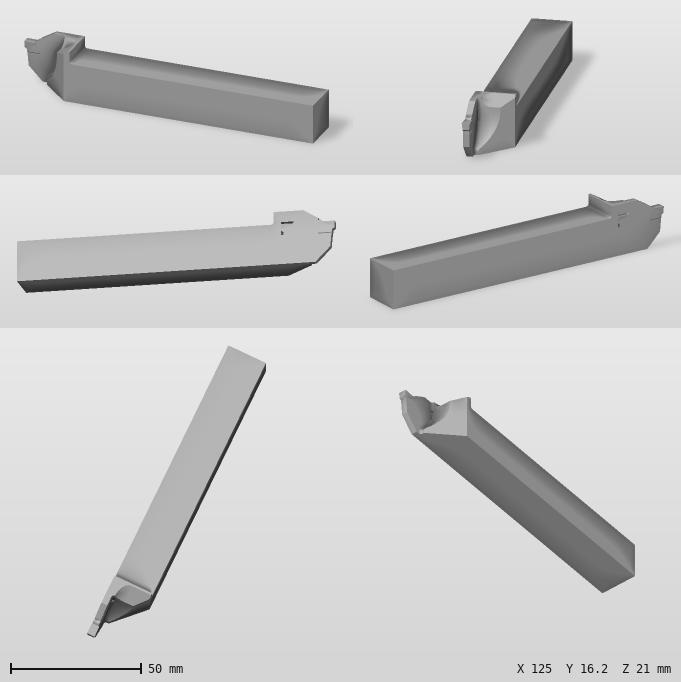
import cadquery as cq
import math

LENGTH = 125.0
SHANK = 16.0
HEAD_HEIGHT = 21.0
HEAD_END_X = 24.0
STEP_RADIUS = 1.0

BLADE_THICKNESS = 2.5
BLADE_FRONT_X = 1.1
BLADE_LOWER_X = 1.6
NOSE_HEIGHT = 5.9
NOSE_BOTTOM_X = 7.5
JAW_FRONT_X = 6.4
JAW_LIP_Z = 17.5
JAW_TOP_X = 12.2

FLANK_END_X = 21.6

WALL_X = 16.9
WALL_ARC_TOP_Z = 16.0
WALL_FOOT_X = 9.9
WALL_FOOT_Z = 2.2
FOOT_RADIUS = 1.5
ROOT_RADIUS = 1.0

RAMP_END_X = 23.1
RAMP_ANGLE = 30.0
RAMP_FLAT_Y = -7.5
RAMP_RADIUS = 4.0

INSERT_LENGTH = 21.0
SEAT_Z = 11.2
SEAT_BEVEL = 0.4
INSERT_TOP_Z = 16.8
GROOVE_DEPTH = 0.2
CUTTING_Z = 16.0
TIP_LENGTH = 4.4
TIP_OVERHANG = 0.2
TIP_WIDTH = 3.2
TIP_PLAN_RELIEF = 2.0
TIP_SIDE_RELIEF = 8.0
TIP_FRONT_Z = 13.4
TIP_UNDER_FRONT_Z = 13.9
TIP_UNDER_REAR_Z = 14.8
BLADE_RELIEF_X = 1.0
BLADE_RELIEF_Z = 12.6
TOP_START_X = 5.2

CLEAR = 1.2


def prism(points, back_y, width):
    """Extrude an XZ outline from back_y toward -Y."""
    return cq.Workplane("XZ", origin=(0, back_y, 0)).polyline(points).close().extrude(width)


def insert_section(start_x, length):
    """Bar along X with bevelled lower edges and a shallow V groove on top."""
    points = [
        (0, SEAT_Z + SEAT_BEVEL),
        (-SEAT_BEVEL, SEAT_Z),
        (SEAT_BEVEL - BLADE_THICKNESS, SEAT_Z),
        (-BLADE_THICKNESS, SEAT_Z + SEAT_BEVEL),
        (-BLADE_THICKNESS, INSERT_TOP_Z),
        (-BLADE_THICKNESS / 2, INSERT_TOP_Z - GROOVE_DEPTH),
        (0, INSERT_TOP_Z),
    ]
    return cq.Workplane("YZ", origin=(start_x, 0, 0)).polyline(points).close().extrude(length)


def mirror_end(points):
    """Copy outline points to the other end of the insert, in reverse order."""
    return [(INSERT_LENGTH - x, z) for x, z in reversed(points)]


def make_tip():
    """Cutting tip, narrowing behind and below its cutting edge."""
    outline = [
        (0, TIP_FRONT_Z),
        (0, CUTTING_Z),
        (TIP_LENGTH, CUTTING_Z),
        (TIP_LENGTH, TIP_UNDER_REAR_Z),
        (BLADE_RELIEF_X, TIP_UNDER_FRONT_Z),
    ]
    side_shape = prism(outline, TIP_OVERHANG, TIP_WIDTH)
    back_y = TIP_OVERHANG
    front_y = TIP_OVERHANG - TIP_WIDTH
    rear_x = TIP_LENGTH + CLEAR
    narrowing = rear_x * math.tan(math.radians(TIP_PLAN_RELIEF))
    plan_shape = (
        cq.Workplane("XY", origin=(0, 0, CUTTING_Z))
        .polyline([
            (-CLEAR, back_y),
            (0, back_y),
            (rear_x, back_y - narrowing),
            (rear_x, front_y + narrowing),
            (0, front_y),
            (-CLEAR, front_y),
        ])
        .close()
        .extrude(TIP_FRONT_Z - CUTTING_Z, taper=TIP_SIDE_RELIEF)
    )
    return side_shape.intersect(plan_shape)


def make_insert():
    end_outline = [
        (BLADE_RELIEF_X, SEAT_Z),
        (BLADE_RELIEF_X, BLADE_RELIEF_Z),
        (0, TIP_FRONT_Z),
        (0, CUTTING_Z),
        (TIP_LENGTH, CUTTING_Z),
        (TOP_START_X, INSERT_TOP_Z),
    ]
    outline = prism(end_outline + mirror_end(end_outline), 0, BLADE_THICKNESS)
    insert = insert_section(0, INSERT_LENGTH).intersect(outline)
    front_tip = make_tip()
    centre = (INSERT_LENGTH / 2, 0, 0)
    rear_tip = front_tip.mirror("YZ", centre)
    return insert.union(front_tip).union(rear_tip)


def make_blank():
    """Side outline of the shank and head, with the step behind the head rounded."""
    return (
        cq.Workplane("XZ")
        .moveTo(NOSE_BOTTOM_X, 0)
        .lineTo(LENGTH, 0)
        .lineTo(LENGTH, SHANK)
        .lineTo(HEAD_END_X + STEP_RADIUS, SHANK)
        .radiusArc((HEAD_END_X, SHANK + STEP_RADIUS), STEP_RADIUS)
        .lineTo(HEAD_END_X, HEAD_HEIGHT)
        .lineTo(JAW_TOP_X, HEAD_HEIGHT)
        .lineTo(JAW_FRONT_X, JAW_LIP_Z)
        .lineTo(JAW_FRONT_X, SEAT_Z)
        .lineTo(BLADE_FRONT_X, SEAT_Z)
        .lineTo(BLADE_LOWER_X, NOSE_HEIGHT)
        .close()
        .extrude(SHANK)
    )


def flank_cutter():
    """45 degree flank, stopping at the front of the blade."""
    front_y = -SHANK - CLEAR
    end_x = FLANK_END_X + CLEAR
    blade_x = end_x - (-BLADE_THICKNESS - front_y)
    points = [
        (end_x, front_y),
        (blade_x, -BLADE_THICKNESS),
        (-CLEAR, -BLADE_THICKNESS),
        (-CLEAR, front_y),
    ]
    return cq.Workplane("XY").polyline(points).close().extrude(HEAD_HEIGHT)


def clearance_cutter():
    """Space in front of the blade, ending at a curved wall with a filleted root."""
    run = WALL_X - WALL_FOOT_X
    drop = WALL_ARC_TOP_Z - WALL_FOOT_Z
    radius = (run**2 + drop**2) / (2 * run)
    wall = (
        cq.Workplane("XZ", origin=(0, -BLADE_THICKNESS, 0))
        .moveTo(-CLEAR, -CLEAR)
        .lineTo(WALL_FOOT_X, -CLEAR)
        .lineTo(WALL_FOOT_X, WALL_FOOT_Z)
        .radiusArc((WALL_X, WALL_ARC_TOP_Z), -radius)
        .lineTo(WALL_X, HEAD_HEIGHT + CLEAR)
        .lineTo(-CLEAR, HEAD_HEIGHT + CLEAR)
        .close()
        .extrude(SHANK)
    )
    wall = wall.edges(cq.selectors.BoxSelector(
        (WALL_FOOT_X - CLEAR, -2 * SHANK, WALL_FOOT_Z - CLEAR),
        (WALL_FOOT_X + CLEAR, 0, WALL_FOOT_Z + CLEAR))).edges("|Y").fillet(FOOT_RADIUS)
    root = wall.faces(">Y").edges(cq.selectors.BoxSelector(
        (0, -SHANK, -CLEAR / 2), (WALL_X + CLEAR, 0, HEAD_HEIGHT + CLEAR / 2)))
    return root.fillet(ROOT_RADIUS)


def ramp_cutter():
    """Trough rising along +X, with a rounded back side."""
    slope = math.tan(math.radians(RAMP_ANGLE))
    start_x = WALL_X - CLEAR
    floor_z = HEAD_HEIGHT - slope * (RAMP_END_X - start_x)
    run = HEAD_END_X + CLEAR - start_x
    along = cq.Vector(run, 0, run * slope)
    back_y = RAMP_FLAT_Y + RAMP_RADIUS
    top_z = HEAD_HEIGHT + CLEAR
    front_y = -SHANK - CLEAR
    section = (
        cq.Workplane("YZ", origin=(start_x, 0, 0))
        .moveTo(front_y, floor_z)
        .lineTo(RAMP_FLAT_Y, floor_z)
        .radiusArc((back_y, floor_z + RAMP_RADIUS), -RAMP_RADIUS)
        .lineTo(back_y, top_z)
        .lineTo(front_y, top_z)
        .close()
    )
    return cq.Workplane(cq.Solid.extrudeLinear(section.val(), [], along))


def insert_pocket(insert):
    """Slot for the insert bar, with headroom over the rear tip."""
    slot = insert_section(-CLEAR, INSERT_LENGTH + CLEAR)
    open_back = cq.Workplane("XY").box(TIP_LENGTH, TIP_WIDTH, INSERT_TOP_Z - CUTTING_Z, centered=False)
    headroom = open_back.translate((INSERT_LENGTH - TIP_LENGTH, TIP_OVERHANG - TIP_WIDTH, CUTTING_Z))
    wall_notch = (
        cq.Workplane("XY")
        .box(WALL_X - TOP_START_X, ROOT_RADIUS, INSERT_TOP_Z - SEAT_Z - SEAT_BEVEL, centered=False)
        .translate((TOP_START_X, -BLADE_THICKNESS - ROOT_RADIUS, SEAT_Z + SEAT_BEVEL))
    )
    return slot.union(headroom).union(wall_notch).union(insert)


def make_holder(insert):
    holder = make_blank()
    for cutter in (flank_cutter(), clearance_cutter(), ramp_cutter(), insert_pocket(insert)):
        holder = holder.cut(cutter)
    return holder


insert = make_insert()
holder = make_holder(insert)
result = cq.Compound.makeCompound([holder.val(), insert.val()])